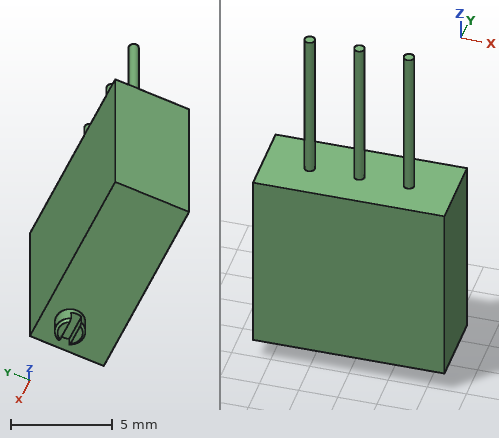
import cadquery as cq

body_width = 9.78
body_depth = 4.02
body_height = body_width

screw_diameter = 1.5
screw_length = 1.01
screw_x = 3.32
screw_y = 0.56
screw_chamfer = 0.13
slot_width = 0.56
slot_depth = 0.68

overall_height = 18.78
pin_diameter = 0.53
pin_pitch = 2.54
pin_y = -0.11
pin_length = overall_height - body_height - screw_length


def make_body():
    return cq.Workplane("XY").box(body_width, body_depth, body_height, centered=(True, True, False))


def make_pins():
    pin_centres = [(step * pin_pitch, pin_y) for step in (-1, 0, 1)]
    return (
        cq.Workplane("XY", origin=(0, 0, body_height))
        .pushPoints(pin_centres)
        .circle(pin_diameter / 2)
        .extrude(pin_length)
    )


def make_screw():
    """Chamfered screw head with a screwdriver slot along X, open at the bottom."""
    bottom = cq.Workplane("XY", origin=(screw_x, screw_y, -screw_length))
    head = bottom.circle(screw_diameter / 2).extrude(screw_length)
    head = head.faces("<Z").chamfer(screw_chamfer)
    slot = bottom.rect(screw_diameter, slot_width).extrude(slot_depth)
    return head.cut(slot)


result = make_body().union(make_pins()).union(make_screw())